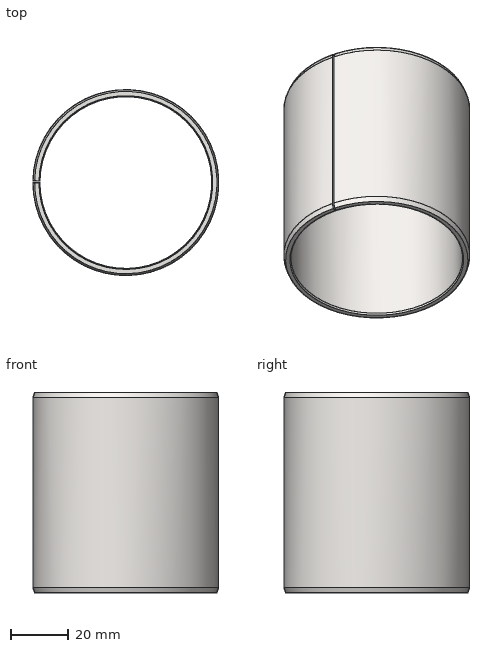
import cadquery as cq
import math

outer_diameter = 65.0
inner_diameter = 60.0
length = 70.0

outer_chamfer_length = 1.8
outer_chamfer_angle = 20.0
outer_chamfer_depth = outer_chamfer_length * math.tan(math.radians(outer_chamfer_angle))

bore_chamfer_length = 0.6
bore_chamfer_depth = 0.36

gap_angle = 1.0

outer_radius = outer_diameter / 2
inner_radius = inner_diameter / 2
half_length = length / 2


def make_sleeve():
    """Revolve the chamfered wall section about Z, leaving the butt joint open."""
    wall_section = [
        (inner_radius, -half_length + bore_chamfer_length),
        (inner_radius + bore_chamfer_depth, -half_length),
        (outer_radius - outer_chamfer_depth, -half_length),
        (outer_radius, -half_length + outer_chamfer_length),
        (outer_radius, half_length - outer_chamfer_length),
        (outer_radius - outer_chamfer_depth, half_length),
        (inner_radius + bore_chamfer_depth, half_length),
        (inner_radius, half_length - bore_chamfer_length),
    ]
    section = cq.Workplane("XZ").polyline(wall_section).close()
    return section.revolve(360 - gap_angle, (0, 0), (0, 1))


result = make_sleeve().rotate((0, 0, 0), (0, 0, 1), 180)